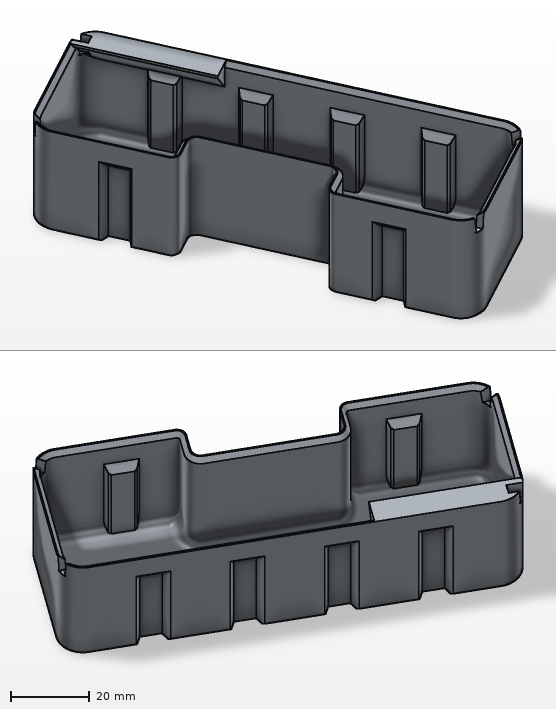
import cadquery as cq

length = 121.5
width = 41.2
height = 33.7

wall = 1.7
floor = 1.5
corner_radius = 6.9
floor_fillet = 3.9
rim_chamfer = 1.3
base_chamfer = 1.0

bay_width = 40.0
bay_depth = 10.0
bay_radius = 2.5

pitch = 24.5
back_steps = (-1.5, -0.5, 0.5, 1.5)
front_steps = (-1.5, 1.5)
groove_width = 9.0
groove_flat = 5.8
groove_depth = 3.2
groove_top = height - 6.6
groove_slope = 3.4
rib_width = 9.2
rib_flat = 7.0
rib_depth = 2.2
rib_top = height - 7.0
rib_slope = 2.1
rib_bevel = 0.5

tab_length = bay_width
tab_depth = corner_radius
tab_edge = 0.9
tab_height = 7.8

notch_reach = 4.5
notch_depth = 5.1
notch_offset = 2.4
notch_width = 2.8
notch_floor_width = 2.1

x_left = -length / 2
y_front = -width / 2
y_back = width / 2


def outline_prism(inset):
    """Full-height prism of the plan outline, moved inwards by inset."""
    block = (
        cq.Workplane("XY")
        .rect(length - 2 * inset, width - 2 * inset)
        .extrude(height)
        .edges("|Z")
        .fillet(corner_radius - inset)
    )
    bay = (
        cq.Workplane("XY", origin=(0, y_front, 0))
        .rect(bay_width + 2 * inset, 2 * (bay_depth + inset))
        .extrude(height)
        .edges("|Z and >Y")
        .fillet(bay_radius + inset)
    )
    margin = wall / 2
    half_mouth = bay_width / 2 + inset + margin
    y_mouth = y_front + inset
    mouth = cq.selectors.BoxSelector(
        (-half_mouth, y_mouth - margin, 0),
        (half_mouth, y_mouth + margin, height),
    )
    return block.cut(bay).edges("|Z").edges(mouth).fillet(bay_radius - inset)


def shell():
    """Open tray with a chamfered base, a rounded floor edge and a chamfered rim."""
    body = outline_prism(0).faces("<Z").chamfer(base_chamfer)
    cavity = outline_prism(wall).faces("<Z").edges().fillet(floor_fillet)
    tray = body.cut(cavity.translate((0, 0, floor)))
    inner_rim = tray.faces(">Z").val().innerWires()[0]
    return tray.newObject(inner_rim.Edges()).chamfer(rim_chamfer)


def label_tab():
    """Flat tab along the back wall, carried by a sloped underside."""
    profile = [
        (y_back, height),
        (y_back - tab_depth, height),
        (y_back - tab_depth, height - tab_edge),
        (y_back - wall, height - tab_height),
        (y_back, height - tab_height),
    ]
    tab = cq.Workplane("YZ", origin=(x_left, 0, 0)).polyline(profile).close().extrude(tab_length)
    return tab.intersect(outline_prism(0))


def tapered_bar(x, y_base, inward, base, flat, depth, bottom, top, slope):
    """Upright bar reaching inward from y_base, narrowing to flat, with a sloped top."""
    y_face = y_base + inward * depth
    plan = [(-base / 2, y_base), (base / 2, y_base), (flat / 2, y_face), (-flat / 2, y_face)]
    side = [(y_base, bottom), (y_base, top), (y_face, top - slope), (y_face, bottom)]
    upright = cq.Workplane("XY", origin=(x, 0, bottom)).polyline(plan).close().extrude(top - bottom)
    sloped = cq.Workplane("YZ", origin=(x - base / 2, 0, 0)).polyline(side).close().extrude(base)
    return upright.intersect(sloped)


def rib(x, y_outer, inward):
    """Rib on the inside of the wall, with its two upright face edges bevelled."""
    y_inner = y_outer + inward * wall
    bar = tapered_bar(
        x, y_inner, inward, rib_width, rib_flat, rib_depth, base_chamfer, rib_top, rib_slope
    )
    face = ">Y" if inward > 0 else "<Y"
    return bar.faces(face).edges("|Z").chamfer(rib_bevel)


def groove(x, y_outer, inward):
    """Groove in the outside of the wall, open at the base."""
    return tapered_bar(
        x, y_outer, inward, groove_width, groove_flat, groove_depth, 0, groove_top, groove_slope
    )


def corner_notch(x_side, y_side):
    """Cutter through one corner of the rim, running along X and narrowing downwards."""
    y_mid = y_side * (width / 2 - notch_offset - notch_width / 2)
    z_floor = height - notch_depth
    profile = [
        (y_mid - notch_width / 2, height),
        (y_mid - notch_floor_width / 2, z_floor),
        (y_mid + notch_floor_width / 2, z_floor),
        (y_mid + notch_width / 2, height),
    ]
    x_mid = x_side * (length - notch_reach) / 2
    start = x_mid - notch_reach / 2
    return cq.Workplane("YZ", origin=(start, 0, 0)).polyline(profile).close().extrude(notch_reach)


result = shell().union(label_tab())

stations = [(step * pitch, y_back, -1) for step in back_steps]
stations += [(step * pitch, y_front, 1) for step in front_steps]
for station in stations:
    result = result.union(rib(*station)).cut(groove(*station))

for x_side in (-1, 1):
    for y_side in (-1, 1):
        result = result.cut(corner_notch(x_side, y_side))

result = result.solids()